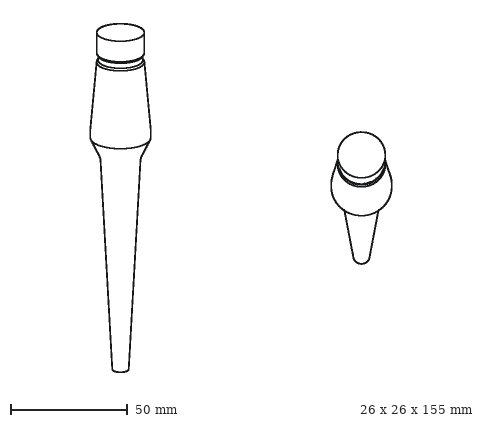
import cadquery as cq
import math

TOTAL_LENGTH = 155.0
CAP_LENGTH = 9.5
GROOVE_LENGTH = 4.2
GROOVE_FLANK = 1.0
BODY_LENGTH = 31.5
BAND_LENGTH = 3.3
SHOULDER_LENGTH = 9.1

CAP_RADIUS = 10.2
GROOVE_RADIUS = 9.6
BAND_RADIUS = 13.0
TIP_RADIUS = 3.5
NECK_FILLET = 4.0

BODY_ANGLE = 5.0
STEM_ANGLE = 3.0

cap_bottom = TOTAL_LENGTH - CAP_LENGTH
body_top = cap_bottom - GROOVE_LENGTH
band_top = body_top - BODY_LENGTH
band_bottom = band_top - BAND_LENGTH
neck_height = band_bottom - SHOULDER_LENGTH

body_top_radius = BAND_RADIUS - BODY_LENGTH * math.tan(math.radians(BODY_ANGLE))
neck_radius = TIP_RADIUS + neck_height * math.tan(math.radians(STEM_ANGLE))

outline = [
    (0, 0),
    (TIP_RADIUS, 0),
    (neck_radius, neck_height),
    (BAND_RADIUS, band_bottom),
    (BAND_RADIUS, band_top),
    (body_top_radius, body_top),
    (GROOVE_RADIUS, body_top + GROOVE_FLANK),
    (GROOVE_RADIUS, cap_bottom - GROOVE_FLANK),
    (CAP_RADIUS, cap_bottom),
    (CAP_RADIUS, TOTAL_LENGTH),
    (0, TOTAL_LENGTH),
]
turned_body = cq.Workplane("XZ").polyline(outline).close().revolve(360, (0, 0, 0), (0, 1, 0))

neck_edge = cq.selectors.BoxSelector(
    (-BAND_RADIUS, -BAND_RADIUS, neck_height - NECK_FILLET),
    (BAND_RADIUS, BAND_RADIUS, neck_height + NECK_FILLET),
    boundingbox=True,
)
result = turned_body.edges(neck_edge).fillet(NECK_FILLET)